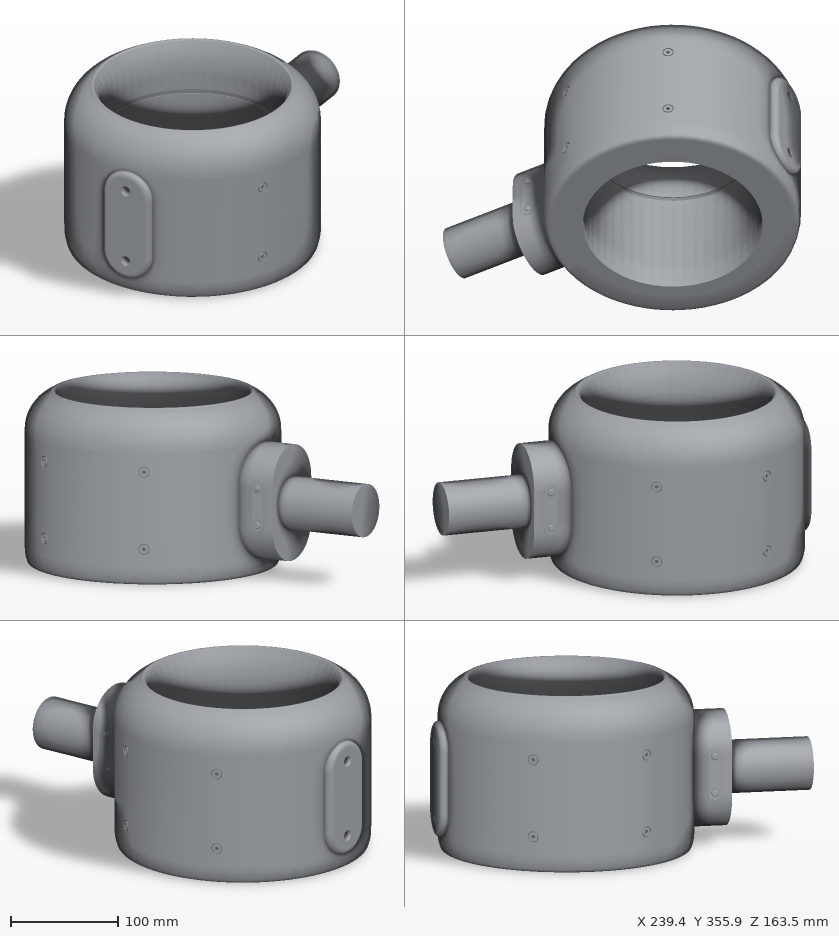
import cadquery as cq
import math

OUTER_RADIUS = 119.7
BORE_RADIUS = 83.7
TOP_Z = 92.7
BOTTOM_Z = -70.75
BAND_HALF_HEIGHT = 55.0
SHOULDER_RADIUS = 40.0
LIP_OUTER_RADIUS = 95.6
LIP_CREST_RADIUS = 93.8
LIP_INNER_RADIUS = 91.7
MOUTH_RADIUS = 54.0
LIP_INNER_DROP = 1.0
BOTTOM_FILLET = 4.0

GROOVE_TOP_Z = 45.0
GROOVE_WIDTH = 4.5
GROOVE_DEPTH = 1.0

COLLAR_WIDTH = 70.0
COLLAR_END_Y = 150.9
PIPE_RADIUS = 25.0
PIPE_END_Y = 230.85

TAG_WIDTH = 12.5
TAG_HEIGHT = 48.0
TAG_THICKNESS = 0.5
TAG_Y = 134.4
TAG_SCREW_Z = 17.5
TAG_SCREW_RADIUS = 3.2
TAG_SCREW_PROTRUSION = 1.9
TAG_SCREW_FILLET = 1.0

PLATE_WIDTH = 50.0
PLATE_FACE_Y = -125.0
PLATE_FILLET = 5.0
COUNTERSINK_DIAMETER = 10.4
COUNTERSINK_DEPTH = 2.6
PLATE_HOLE_DIAMETER = 5.2
PLATE_HOLE_DEPTH = 5.0

SCREW_Z = 36.5
SCREW_ANGLE = 26.9
SCREW_SEAT_RADIUS = 5.3
SCREW_HEAD_RADIUS = 4.2
SCREW_SEAT_DEPTH = 1.5
SOCKET_ACROSS_CORNERS = 4.0
SOCKET_DEPTH = 2.5

BAND_HEIGHT = 2 * BAND_HALF_HEIGHT


def shoulder_radius_at(rise):
    """Outer shoulder radius at a given distance beyond the straight wall."""
    return OUTER_RADIUS - SHOULDER_RADIUS + math.sqrt(SHOULDER_RADIUS**2 - rise**2)


def shoulder_rise_at(radius):
    """Distance beyond the straight wall at which the shoulder has this radius."""
    return math.sqrt(SHOULDER_RADIUS**2 - (radius - OUTER_RADIUS + SHOULDER_RADIUS)**2)


def make_ring():
    lip_outer_z = BAND_HALF_HEIGHT + shoulder_rise_at(LIP_OUTER_RADIUS)
    lip_inner_z = TOP_Z - LIP_INNER_DROP
    flare = LIP_INNER_RADIUS - BORE_RADIUS
    mouth_height = math.sqrt(MOUTH_RADIUS**2 - (MOUTH_RADIUS - flare)**2)
    mouth_z = lip_inner_z - mouth_height
    mouth_mid_rise = mouth_height / 2
    mouth_mid_radius = BORE_RADIUS + MOUTH_RADIUS - math.sqrt(MOUTH_RADIUS**2 - mouth_mid_rise**2)
    top_mid_rise = (lip_outer_z - BAND_HALF_HEIGHT) / 2

    bottom_rise = -BAND_HALF_HEIGHT - BOTTOM_Z
    bottom_mid_rise = bottom_rise / 2

    ring = (
        cq.Workplane("XZ")
        .moveTo(BORE_RADIUS, BOTTOM_Z)
        .lineTo(shoulder_radius_at(bottom_rise), BOTTOM_Z)
        .threePointArc(
            (shoulder_radius_at(bottom_mid_rise), -BAND_HALF_HEIGHT - bottom_mid_rise),
            (OUTER_RADIUS, -BAND_HALF_HEIGHT),
        )
        .lineTo(OUTER_RADIUS, BAND_HALF_HEIGHT)
        .threePointArc(
            (shoulder_radius_at(top_mid_rise), BAND_HALF_HEIGHT + top_mid_rise),
            (LIP_OUTER_RADIUS, lip_outer_z),
        )
        .threePointArc((LIP_CREST_RADIUS, TOP_Z), (LIP_INNER_RADIUS, lip_inner_z))
        .threePointArc((mouth_mid_radius, mouth_z + mouth_mid_rise), (BORE_RADIUS, mouth_z))
        .close()
        .revolve(360, (0, 0), (0, 1))
    )
    bottom_outer_edge = cq.selectors.RadiusNthSelector(-1)
    return ring.faces("<Z").edges(bottom_outer_edge).fillet(BOTTOM_FILLET)


def stadium_along_y(width, height, start_y, end_y):
    """Upright stadium prism between two Y positions."""
    return (
        cq.Workplane("XZ", origin=(0, end_y, 0))
        .slot2D(height, width, 90)
        .extrude(end_y - start_y)
    )


def make_pipe():
    return cq.Workplane("XZ", origin=(0, PIPE_END_Y, 0)).circle(PIPE_RADIUS).extrude(PIPE_END_Y)


def make_cover_plate():
    plate = stadium_along_y(PLATE_WIDTH, BAND_HEIGHT, PLATE_FACE_Y, 0)
    return plate.faces("<Y").edges().fillet(PLATE_FILLET)


def make_bore():
    return cq.Workplane("XY", origin=(0, 0, BOTTOM_Z)).circle(BORE_RADIUS).extrude(TOP_Z - BOTTOM_Z)


def make_bore_groove():
    return (
        cq.Workplane("XY", origin=(0, 0, GROOVE_TOP_Z - GROOVE_WIDTH))
        .circle(BORE_RADIUS + GROOVE_DEPTH)
        .extrude(GROOVE_WIDTH)
    )


def make_tag():
    """Name plate with two round-edged screw heads on the +X flank of the collar."""
    flank = cq.Workplane("YZ", origin=(COLLAR_WIDTH / 2, TAG_Y, 0))
    tag = flank.slot2D(TAG_HEIGHT, TAG_WIDTH, 90).extrude(TAG_THICKNESS)
    heads = (
        flank.pushPoints([(0, TAG_SCREW_Z), (0, -TAG_SCREW_Z)])
        .circle(TAG_SCREW_RADIUS)
        .extrude(TAG_SCREW_PROTRUSION)
        .faces(">X")
        .edges()
        .fillet(TAG_SCREW_FILLET)
    )
    return tag.union(heads)


def make_wall_screw_cut(angle, z):
    """Gap around a flush screw head, plus its hex socket, at one spot on the wall."""
    wall = cq.Workplane("YZ", origin=(OUTER_RADIUS, 0, z))
    gap = wall.circle(SCREW_SEAT_RADIUS).circle(SCREW_HEAD_RADIUS).extrude(-SCREW_SEAT_DEPTH)
    socket = wall.polygon(6, SOCKET_ACROSS_CORNERS).extrude(-SOCKET_DEPTH)
    return gap.union(socket).rotate((0, 0, 0), (0, 0, 1), angle)


def make_plate_screw_cut(z):
    """Countersunk blind hole in the cover plate."""
    face = cq.Workplane("XZ", origin=(0, PLATE_FACE_Y, z))
    cone = (
        face.circle(COUNTERSINK_DIAMETER / 2)
        .workplane(offset=-COUNTERSINK_DEPTH)
        .circle(PLATE_HOLE_DIAMETER / 2)
        .loft()
    )
    return cone.union(face.circle(PLATE_HOLE_DIAMETER / 2).extrude(-PLATE_HOLE_DEPTH))


attachments = (
    stadium_along_y(COLLAR_WIDTH, BAND_HEIGHT, 0, COLLAR_END_Y)
    .union(make_pipe())
    .union(make_cover_plate())
    .cut(make_bore())
)
result = make_ring().union(attachments).cut(make_bore_groove())

tag = make_tag()
result = result.union(tag).union(tag.mirror("YZ"))

for screw_z in (SCREW_Z, -SCREW_Z):
    result = result.cut(make_plate_screw_cut(screw_z))
    for screw_angle in (SCREW_ANGLE, -SCREW_ANGLE, 180 - SCREW_ANGLE, 180 + SCREW_ANGLE):
        result = result.cut(make_wall_screw_cut(screw_angle, screw_z))